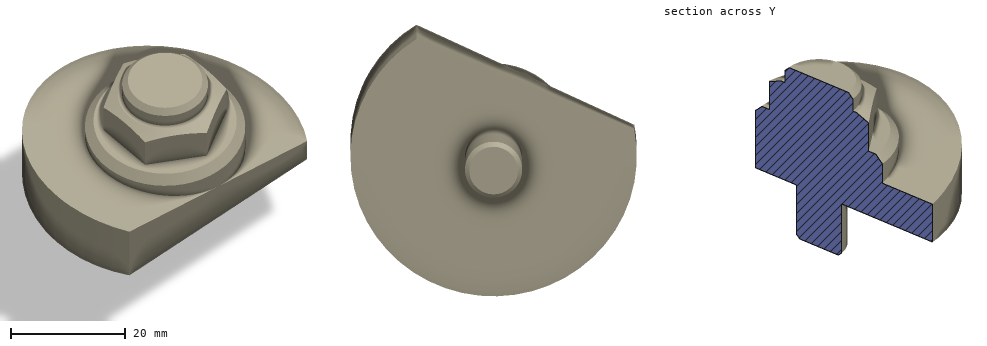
import cadquery as cq
import math

disc_diameter = 50.0
disc_radius = disc_diameter / 2
flat_x = 14.0
disc_low_height = 4.0
disc_high_height = 12.0

collar_radius = flat_x
collar_top_z = 13.5
collar_chamfer = 1.5

hex_sides = 6
hex_across_flats = 19.0
hex_across_corners = hex_across_flats / math.cos(math.pi / hex_sides)
hex_height = 7.0
hex_top_z = collar_top_z + hex_height
hex_top_circle_radius = 8.25
hex_bevel_angle = 23.0

head_diameter = 15.0
head_top_z = 24.0
head_chamfer = 1.0
pin_diameter = 10.0
pin_bottom_z = -11.0
pin_chamfer = 0.75


def wedge_disc():
    disc = cq.Workplane("XY").circle(disc_radius).extrude(disc_high_height)
    side_profile = (
        cq.Workplane("YZ")
        .workplane(offset=-disc_radius)
        .polyline([
            (-disc_radius, 0),
            (disc_radius, 0),
            (disc_radius, disc_low_height),
            (-disc_radius, disc_high_height),
        ])
        .close()
        .extrude(disc_radius + flat_x)
    )
    return disc.intersect(side_profile)


def collar():
    return (
        cq.Workplane("XY")
        .circle(collar_radius)
        .extrude(collar_top_z)
        .faces(">Z")
        .chamfer(collar_chamfer)
    )


def hexagon():
    prism = cq.Workplane("XY").polygon(hex_sides, hex_across_corners).extrude(hex_top_z)
    cone_radius = hex_across_corners
    cone_drop = (cone_radius - hex_top_circle_radius) * math.tan(math.radians(hex_bevel_angle))
    bevel_envelope = (
        cq.Workplane("XZ")
        .polyline([
            (0, 0),
            (cone_radius, 0),
            (cone_radius, hex_top_z - cone_drop),
            (hex_top_circle_radius, hex_top_z),
            (0, hex_top_z),
        ])
        .close()
        .revolve(360, (0, 0), (0, 1))
    )
    return prism.intersect(bevel_envelope)


def stud_head():
    return (
        cq.Workplane("XY")
        .circle(head_diameter / 2)
        .extrude(head_top_z)
        .faces(">Z")
        .chamfer(head_chamfer)
    )


def stud_pin():
    return (
        cq.Workplane("XY")
        .circle(pin_diameter / 2)
        .extrude(pin_bottom_z)
        .faces("<Z")
        .chamfer(pin_chamfer)
    )


result = wedge_disc().union(collar()).union(hexagon()).union(stud_head()).union(stud_pin())